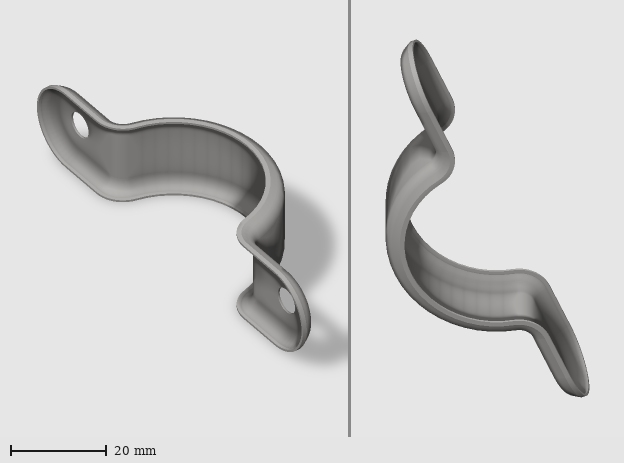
import cadquery as cq
import math


length = 92.5
height = 24.2
width = 20.0

sheet = 0.5
depth = 4.0
edge_radius = 3.0
wall_lean = 30.0
lip_height = 1.0

crown_radius = 23.2
bend_radius = 3.0
hole_diameter = 6.0
hole_spacing = 71.8

half_width = width / 2
ear_center_x = length / 2 - half_width
crown_center_y = height - crown_radius
bend_center_y = depth + bend_radius
bend_rise = bend_center_y - crown_center_y
center_distance = crown_radius + bend_radius
bend_center_x = math.sqrt(center_distance**2 - bend_rise**2)
bend_rise_angle = math.degrees(math.asin(bend_rise / center_distance))
sweep_angle = 90 - bend_rise_angle

lean = math.radians(wall_lean)
wall_drop = depth - lip_height - edge_radius * (1 - math.sin(lean))
wall_run = wall_drop * math.tan(lean)
web_half_width = half_width - wall_run - edge_radius * math.cos(lean)
edge_center_y = depth - edge_radius


def edge_point(radius, angle):
    """Point (Y, Z) on the rounded channel edge; angle is measured from +Z towards +Y."""
    return (
        edge_center_y + radius * math.sin(angle),
        web_half_width + radius * math.cos(angle),
    )


def half_section(x, face_y=depth):
    """Upper half of the channel cross-section at X = x, with its web face at Y = face_y."""
    inner_radius = edge_radius - sheet
    inner_half_width = half_width - sheet
    arc_middle = (lean + math.pi / 2) / 2
    inner_wall_top = edge_point(inner_radius, lean)
    inner_wall_run = inner_half_width - inner_wall_top[1]
    inner_lip_y = inner_wall_top[0] - inner_wall_run / math.tan(lean)
    return (
        cq.Workplane("YZ", origin=(x, face_y - depth, 0))
        .moveTo(depth, 0)
        .lineTo(depth, web_half_width)
        .threePointArc(edge_point(edge_radius, arc_middle), edge_point(edge_radius, lean))
        .lineTo(lip_height, half_width)
        .lineTo(0, half_width)
        .lineTo(0, inner_half_width)
        .lineTo(inner_lip_y, inner_half_width)
        .lineTo(*inner_wall_top)
        .threePointArc(edge_point(inner_radius, arc_middle), (depth - sheet, web_half_width))
        .lineTo(depth - sheet, 0)
        .close()
    )


def full_channel(upper_half):
    return upper_half.union(upper_half.mirror("XY"))


def crown_half():
    axis_y = depth - crown_radius
    section = half_section(0, face_y=height)
    return full_channel(section.revolve(sweep_angle, (axis_y, 0.9), (axis_y, 0)))


def bend():
    section = half_section(bend_center_x)
    return full_channel(section.revolve(sweep_angle, (bend_center_y, 0.9), (bend_center_y, 0)))


def ear():
    straight = full_channel(half_section(bend_center_x).extrude(ear_center_x - bend_center_x))
    rounded_end = half_section(ear_center_x).revolve(180, (0, 0), (1, 0))
    hole = (
        cq.Workplane("XZ", origin=(hole_spacing / 2, 0, 0))
        .circle(hole_diameter / 2)
        .extrude(-depth)
    )
    return straight.union(rounded_end).cut(hole)


right_half = crown_half().union(bend()).union(ear())
result = right_half.union(right_half.mirror("YZ"))